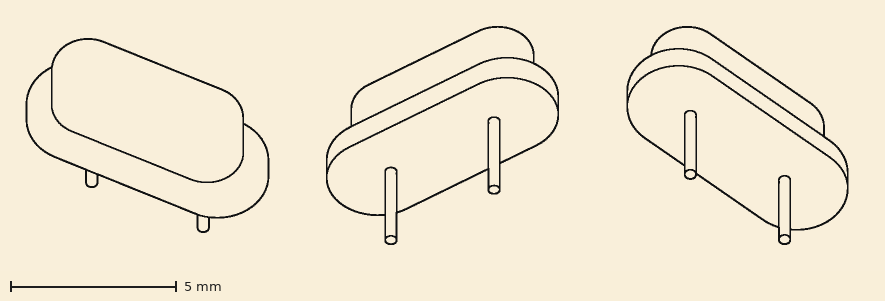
import cadquery as cq

flange_length = 7.8
flange_width = 3.1
flange_height = 1.0
flange_fillet = 0.2

cap_length = 6.2
cap_width = 2.2
cap_height = 2.1
cap_fillet = 0.3

pin_diameter = 0.35
pin_length = 3.0
pin_spacing = 3.75


def rounded_block(length, width, height, bottom_z, fillet):
    """Block with semicircular ends and a rounded top rim."""
    block = cq.Workplane("XY").workplane(offset=bottom_z).slot2D(length, width).extrude(height)
    return block.faces(">Z").edges().fillet(fillet)


def make_housing():
    """Flange and cap as a single solid."""
    flange = rounded_block(flange_length, flange_width, flange_height, 0, flange_fillet)
    cap = rounded_block(cap_length, cap_width, cap_height, flange_height, cap_fillet)
    return flange.union(cap)


def make_pin(x):
    """Round pin whose top end touches the underside of the flange."""
    return cq.Workplane("XY").center(x, 0).circle(pin_diameter / 2).extrude(-pin_length)


housing = make_housing()
pins = [make_pin(side * pin_spacing / 2) for side in (-1, 1)]

result = cq.Compound.makeCompound([housing.val(), *[pin.val() for pin in pins]])